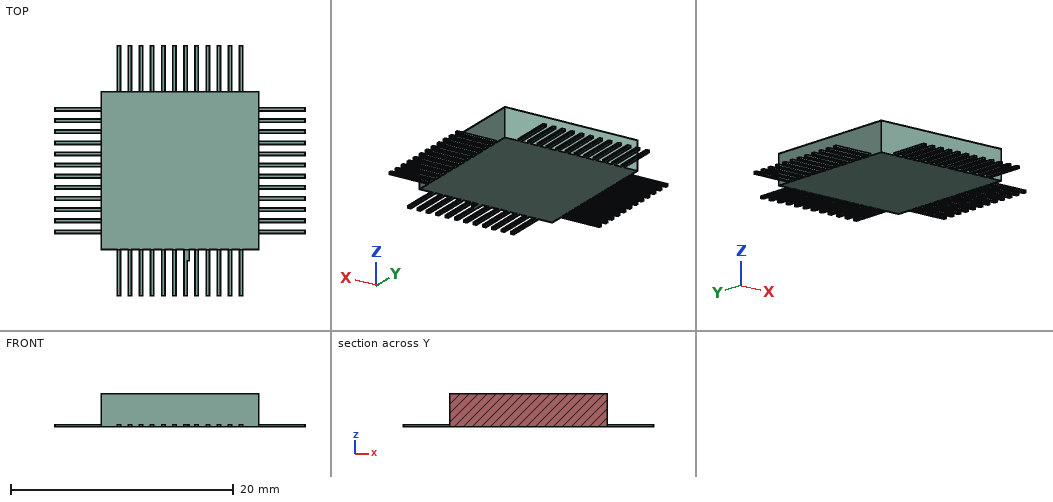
import cadquery as cq

span = 22.5
body_side = 14.2
body_height = 3.0

leads_per_side = 12
lead_row_length = 11.0
lead_pitch = lead_row_length / (leads_per_side - 1)
lead_width = 0.32
lead_thickness = 0.191
lead_length = (span - body_side) / 2

tab_lead = 6
tab_width = 0.18
tab_length = 1.01

overlap = 0.22


def lead_offset(index):
    """Distance of a lead's centreline from the middle of its row."""
    return (index - (leads_per_side - 1) / 2) * lead_pitch


def bar(x_center, width, length):
    """Flat bar that sticks out of the -Y side of the body by the given length."""
    return (
        cq.Workplane("XY")
        .box(width, length + overlap, lead_thickness, centered=(True, False, False))
        .translate((x_center, -body_side / 2 - length, 0))
    )


def lead_row(angle):
    """Row of leads on the -Y side, turned about Z by the given angle."""
    row = cq.Workplane("XY")
    for index in range(leads_per_side):
        row = row.add(bar(lead_offset(index), lead_width, lead_length))
    return row.combine().rotate((0, 0, 0), (0, 0, 1), angle)


def index_tab():
    """Short tab that widens the marked lead on its +X edge."""
    width = lead_width + tab_width
    return bar(lead_offset(tab_lead) + tab_width / 2, width, tab_length)


result = cq.Workplane("XY").box(body_side, body_side, body_height, centered=(True, True, False))
for angle in (0, 90, 180, 270):
    result = result.union(lead_row(angle))
result = result.union(index_tab())